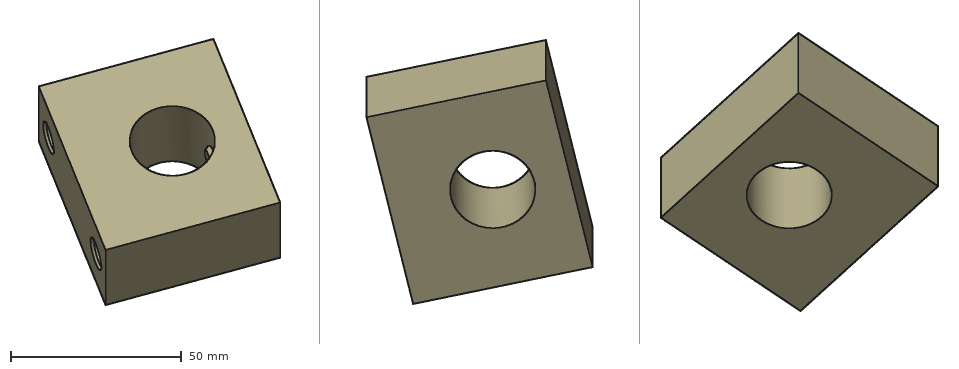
import cadquery as cq
import math

length = 62.0
width = 54.0
height = 28.0

bore_diameter = 25.0
bore_offset = 3.95

pin_tip_diameter = 5.6
pin_cone_angle = 75.0
pin_reach = 1.55
pin_root_depth = 0.6

hole_diameter = 8.4
hole_mouth_diameter = 10.05
hole_edge_distance = 9.0
hole_depth = 19.85
drill_point_angle = 118.0


def block():
    return cq.Workplane("XY").box(length, width, height)


def bore():
    return (
        cq.Workplane("XY", origin=(0, bore_offset, -height / 2))
        .circle(bore_diameter / 2)
        .extrude(height)
    )


def pin():
    """Cone pointing out of the bore wall, cut off flat at its tip."""
    tip_y = bore_offset + bore_diameter / 2 - pin_reach
    cone_length = pin_reach + pin_root_depth
    tip_radius = pin_tip_diameter / 2
    root_radius = tip_radius + cone_length * math.tan(math.radians(pin_cone_angle / 2))
    axis = cq.Vector(0, 1, 0)
    return cq.Workplane(
        cq.Solid.makeCone(tip_radius, root_radius, cone_length, cq.Vector(0, tip_y, 0), axis)
    )


def drilled_hole(x):
    radius = hole_diameter / 2
    mouth_radius = hole_mouth_diameter / 2
    chamfer = mouth_radius - radius
    point_length = radius / math.tan(math.radians(drill_point_angle / 2))
    profile = cq.Workplane("XY").polyline([
        (0, 0),
        (mouth_radius, 0),
        (radius, chamfer),
        (radius, hole_depth),
        (0, hole_depth + point_length),
    ]).close()
    return profile.revolve(360, (0, 0, 0), (0, 1, 0)).translate((x, -width / 2, 0))


result = block().cut(bore()).union(pin())
hole_x = length / 2 - hole_edge_distance
for x in (-hole_x, hole_x):
    result = result.cut(drilled_hole(x))